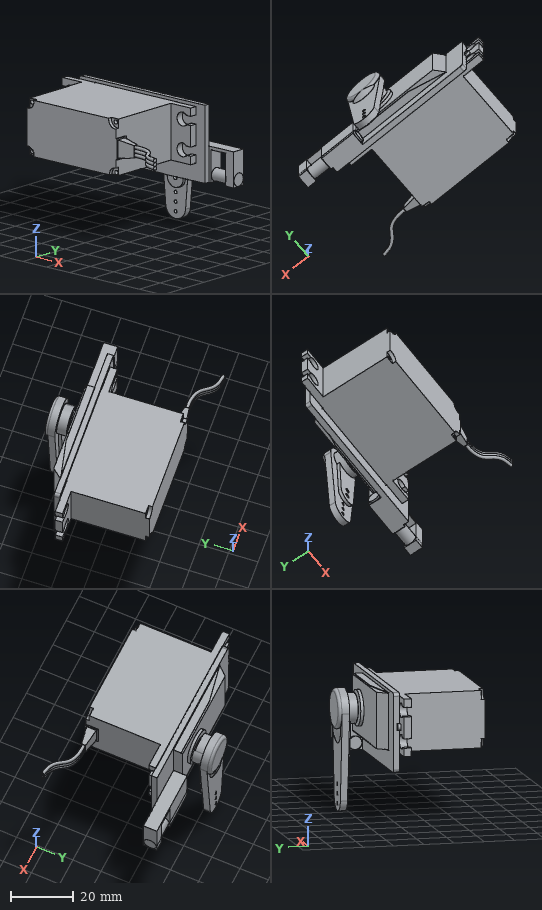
import cadquery as cq
import math


CASE_LEFT = -28.85
CASE_LENGTH = 38.25
CASE_RIGHT = CASE_LEFT + CASE_LENGTH
CASE_HEIGHT = 18.9
CASE_FRONT = -29.05
FLANGE_REACH = 8.6
FLANGE_THICKNESS = 2.5
NOTCH_RADIUS = 2.3
NOTCH_SLOT = 3.1
NOTCH_INSET = 3.55
NOTCH_SPACING = 10.25
RIB_WIDTH = 2.15
RIB_HEIGHT = 1.05
RIB_LEFT = -33.9
RIB_Z = -0.55

COVER_LEFT = -25.5
COVER_RAMP_END = -22.65
COVER_REAR = 5.45
RIM_RAMP_END = -11.9
RIM_REAR = 4.9
RIM_THICKNESS = 0.2
BOSS_RADIUS = 5.9
BOSS_REAR = 6.5

RECESS_RADIUS = 2.65
RECESS_DEPTH = 1.3
RECESS_INSET = 0.4
DIMPLE_RADIUS = 0.7
DIMPLE_INSET = 1.2
ODD_CORNER_SHIFT = 0.3

RELIEF_Z = -0.35
PAD_THICKNESS = 0.4
PAD_DEPTH = 4.6
PAD_HEIGHT = 7.1
RELIEF_LENGTH = 6.0
RELIEF_Y = -26.75
RELIEF_BASE = (3.5, 6.2)
RELIEF_TIP = (1.5, 4.2)

PLATE_LEFT = -32.35
PLATE_RIGHT = 21.75
PLATE_TOP = 10.5
PLATE_BOTTOM = -15.6
PLATE_FRONT = 0.15
PLATE_REAR = 2.15
PLATE_CORNER_RADIUS = 1.05
BRACKET_RIGHT = 32.3
BRACKET_TOP = -3.5
BRACKET_REAR = 7.05
WINDOW_LEFT = 22.6
WINDOW_RIGHT = 28.7
WINDOW_TOP = -4.6

PIN_RADIUS = 2.2
PIN_PROTRUSION = 0.6
PIN_Y = (PLATE_REAR + BRACKET_REAR) / 2
PIN_Z = -13.25

HEAD_RADIUS = 6.8
HEAD_REAR = 14.0
HEAD_FILLET = 1.05
ARM_FRONT = 10.4
ARM_REAR = 12.8
ARM_TIP_RADIUS = 4.3
ARM_END_Z = -33.45
ARM_TIP_Z = ARM_END_Z + ARM_TIP_RADIUS
LINK_HOLE_RADIUS = 0.55
LINK_HOLE_COUNT = 3
LINK_HOLE_PITCH = 3.2
LINK_HOLE_LOWEST_Z = -30.95
HUB_RADIUS = 5.0
HUB_FRONT = 7.1
BACKING_X = 0.85
BACKING_FRONT = 9.3
BACKING_RADIUS = 4.45
BACKING_TIP_RADIUS = 3.4
BACKING_TIP_Z = -19.2
BACKING_HOLE_RADIUS = 0.8
BACKING_HOLE_PITCH = 3.4
BACKING_HOLE_COUNT = 2
COLLAR_FRONT = 6.7
DOME_Z = -6.7
DOME_RADIUS = 4.45

WIRE_RADIUS = 0.6
WIRE_PITCH = 1.3
WIRE_PATH = [(0, 0), (3.1, -0.15), (5.0, -0.6), (7.05, -1.75), (10.05, -5.5), (11.6, -6.55), (15.05, -7.45)]
WIRE_END_DIRECTION = (1, -0.27)


def box(x0, x1, y0, y1, z0, z1):
    return cq.Workplane("XY").box(x1 - x0, y1 - y0, z1 - z0, centered=False).translate((x0, y0, z0))


def cylinder(x, z, radius, y0, y1):
    """Round bar along Y."""
    end_plane = cq.Plane(origin=(x, y0, z), xDir=(0, 0, 1), normal=(0, 1, 0))
    return cq.Workplane(end_plane).circle(radius).extrude(y1 - y0)


def tapered_arm(x, radius, tip_z, tip_radius, y0, y1):
    """Plate from a large circle at Z = 0, along its tangents, around a small circle at tip_z.

    The plate starts at the chord between the tangent points; the large circle is a separate bar.
    """
    slope = (radius - tip_radius) / -tip_z
    cosine = math.sqrt(1 - slope**2)
    half_width, shoulder_z = radius * cosine, -radius * slope
    tip_half_width, tip_shoulder_z = tip_radius * cosine, tip_z - tip_radius * slope
    return (
        cq.Workplane("XZ", origin=(x, y0, 0))
        .moveTo(-half_width, shoulder_z)
        .lineTo(half_width, shoulder_z)
        .lineTo(tip_half_width, tip_shoulder_z)
        .threePointArc((0, tip_z - tip_radius), (-tip_half_width, tip_shoulder_z))
        .close()
        .extrude(y0 - y1)
    )


def flange_notches():
    notches = cq.Workplane("XY")
    ends = [(CASE_LEFT - FLANGE_REACH, 1), (CASE_RIGHT + FLANGE_REACH, -1)]
    for end_x, inward in ends:
        centre_x = end_x + inward * NOTCH_INSET
        for z in (-NOTCH_SPACING / 2, NOTCH_SPACING / 2):
            slot = box(
                min(end_x, centre_x), max(end_x, centre_x),
                -FLANGE_THICKNESS, 0,
                z - NOTCH_SLOT / 2, z + NOTCH_SLOT / 2,
            )
            notches = notches.add(slot).add(cylinder(centre_x, z, NOTCH_RADIUS, -FLANGE_THICKNESS, 0))
    return notches.combine()


def flange_rib():
    """Round-ended rib on the rear of the left flange, running up to the cover."""
    centre_x = RIB_LEFT + RIB_WIDTH / 2
    bar = box(centre_x, COVER_LEFT, 0, RIB_HEIGHT, RIB_Z - RIB_WIDTH / 2, RIB_Z + RIB_WIDTH / 2)
    return bar.union(cylinder(centre_x, RIB_Z, RIB_WIDTH / 2, 0, RIB_HEIGHT))


def cover_layer(ramp_end, rear, height):
    """Wedge-fronted slab, straight through the mounting plate and ramped behind it."""
    return (
        cq.Workplane("XY")
        .polyline(
            [
                (COVER_LEFT, 0),
                (COVER_LEFT, PLATE_REAR),
                (ramp_end, rear),
                (CASE_RIGHT, rear),
                (CASE_RIGHT, 0),
            ]
        )
        .close()
        .extrude(height / 2, both=True)
    )


def corner_recesses():
    recesses = cq.Workplane("XY")
    for corner_x, inward_x in [(CASE_LEFT, 1), (CASE_RIGHT, -1)]:
        for inward_z in (-1, 1):
            corner_z = -inward_z * CASE_HEIGHT / 2
            shift = ODD_CORNER_SHIFT if (inward_x, inward_z) == (-1, 1) else 0
            recess_inset = RECESS_INSET - shift
            dimple_inset = DIMPLE_INSET - shift
            floor_y = CASE_FRONT + RECESS_DEPTH
            recess = cylinder(
                corner_x + inward_x * recess_inset, corner_z + inward_z * recess_inset,
                RECESS_RADIUS, CASE_FRONT, floor_y,
            )
            dimple = (
                cq.Workplane("XY")
                .sphere(DIMPLE_RADIUS)
                .rotate((0, 0, 0), (0, 0, 1), 90)
                .translate(
                    (corner_x + inward_x * dimple_inset, floor_y, corner_z + inward_z * dimple_inset)
                )
            )
            recesses = recesses.add(recess).add(dimple)
    return recesses.combine()


def strain_relief():
    pad_right = CASE_RIGHT + PAD_THICKNESS
    pad = box(
        CASE_RIGHT, pad_right,
        CASE_FRONT, CASE_FRONT + PAD_DEPTH,
        RELIEF_Z - PAD_HEIGHT / 2, RELIEF_Z + PAD_HEIGHT / 2,
    )
    sleeve = (
        cq.Workplane("YZ", origin=(pad_right, RELIEF_Y, RELIEF_Z))
        .rect(*RELIEF_BASE)
        .workplane(offset=RELIEF_LENGTH)
        .rect(*RELIEF_TIP)
        .loft()
    )
    return pad.union(sleeve)


def make_case():
    half = CASE_HEIGHT / 2
    body = box(CASE_LEFT, CASE_RIGHT, CASE_FRONT, 0, -half, half)
    flange = box(CASE_LEFT - FLANGE_REACH, CASE_RIGHT + FLANGE_REACH, -FLANGE_THICKNESS, 0, -half, half)
    flange = flange.cut(flange_notches())
    return (
        body.cut(corner_recesses())
        .union(flange)
        .union(cover_layer(RIM_RAMP_END, RIM_REAR, CASE_HEIGHT))
        .union(cover_layer(COVER_RAMP_END, COVER_REAR, CASE_HEIGHT - 2 * RIM_THICKNESS))
        .union(cylinder(0, 0, BOSS_RADIUS, COVER_REAR, BOSS_REAR))
        .union(flange_rib())
        .union(strain_relief())
    )


def make_mount(case, pin):
    """Plate around the cover, with a bracket at its right end that holds the pin."""
    plate = box(PLATE_LEFT, PLATE_RIGHT, PLATE_FRONT, PLATE_REAR, PLATE_BOTTOM, PLATE_TOP)
    plate = plate.edges("|Y and <X").fillet(PLATE_CORNER_RADIUS)
    bracket = box(CASE_RIGHT, BRACKET_RIGHT, PLATE_REAR, BRACKET_REAR, PLATE_BOTTOM, BRACKET_TOP)
    window = box(WINDOW_LEFT, WINDOW_RIGHT, PLATE_REAR, BRACKET_REAR, PLATE_BOTTOM, WINDOW_TOP)
    return plate.union(bracket.cut(window)).cut(case).cut(pin)


def make_pin():
    left = CASE_RIGHT - PIN_PROTRUSION
    return cq.Workplane("YZ", origin=(left, PIN_Y, PIN_Z)).circle(PIN_RADIUS).extrude(BRACKET_RIGHT - left)


def arm_dome():
    """Shallow spherical dome on the rear of the arm, just below the head and as high as it."""
    rise = HEAD_REAR - ARM_REAR
    radius = (DOME_RADIUS**2 + rise**2) / (2 * rise)
    return (
        cq.Workplane("XY", origin=(0, 0, DOME_Z))
        .moveTo(0, ARM_REAR)
        .lineTo(DOME_RADIUS, ARM_REAR)
        .radiusArc((0, HEAD_REAR), -radius)
        .close()
        .revolve(360, (0, 0), (0, 1))
    )


def make_horn():
    head = cylinder(0, 0, HEAD_RADIUS, ARM_FRONT, HEAD_REAR).faces(">Y").edges().fillet(HEAD_FILLET)
    arm = tapered_arm(0, HEAD_RADIUS, ARM_TIP_Z, ARM_TIP_RADIUS, ARM_FRONT, ARM_REAR)
    for i in range(LINK_HOLE_COUNT):
        z = LINK_HOLE_LOWEST_Z + i * LINK_HOLE_PITCH
        arm = arm.cut(cylinder(0, z, LINK_HOLE_RADIUS, ARM_FRONT, ARM_REAR))
    backing = tapered_arm(
        BACKING_X, BACKING_RADIUS, BACKING_TIP_Z, BACKING_TIP_RADIUS, BACKING_FRONT, ARM_FRONT
    )
    for i in range(BACKING_HOLE_COUNT):
        z = BACKING_TIP_Z + i * BACKING_HOLE_PITCH
        backing = backing.cut(cylinder(BACKING_X, z, BACKING_HOLE_RADIUS, BACKING_FRONT, ARM_FRONT))
    hub = cylinder(0, 0, HUB_RADIUS, HUB_FRONT, ARM_FRONT)
    collar = cylinder(BACKING_X, 0, BACKING_RADIUS, COLLAR_FRONT, ARM_FRONT)
    return head.union(arm).union(arm_dome()).union(backing).union(hub).union(collar)


def make_wire(z):
    start = (CASE_RIGHT + PAD_THICKNESS + RELIEF_LENGTH, RELIEF_Y, z)
    path = cq.Workplane("XY", origin=start).spline(WIRE_PATH, tangents=[(1, 0), WIRE_END_DIRECTION])
    return cq.Workplane("YZ", origin=start).circle(WIRE_RADIUS).sweep(path)


case = make_case()
pin = make_pin()
mount = make_mount(case, pin)
horn = make_horn()
wires = [make_wire(RELIEF_Z + i * WIRE_PITCH) for i in (-1, 0, 1)]

bodies = [case, mount, pin, horn, *wires]
result = cq.Compound.makeCompound([body.solids().val() for body in bodies])